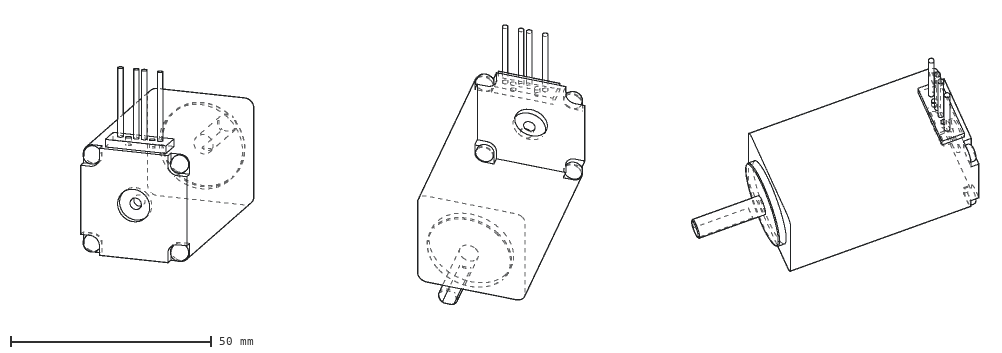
import cadquery as cq


body_side = 28.0
body_corner_radius = 2.5
total_length = 70.6
front_length = 20.05
body_length = total_length - front_length

pilot_diameter = 22.0
pilot_height = 2.05
pilot_edge_axial = 0.3
pilot_edge_radial = 0.2
shaft_diameter = 5.0
shaft_edge = 0.3
flat_length = 15.0
flat_depth = 0.5

recess_diameter = 8.5
recess_depth = 1.5
centre_hole_diameter = 3.0
centre_hole_depth = 2.8
centre_cone_depth = 0.85

screw_pitch = 23.0
screw_radius = 2.25
screw_pocket_radius = 2.5
screw_pocket_depth = 2.1
screw_head_height = 1.8
screw_dome_radius = 1.0

connector_width = 16.0
connector_depth = 6.0
connector_rear_gap = 1.5
connector_height = 2.0
lead_diameter = 1.4
lead_row_span = 10.45
lead_row_y = 5.0
lead_length = 18.0
position_count = 6
lead_pitch = lead_row_span / (position_count - 1)
empty_positions = (1, 4)

body_half = body_side / 2
body_top = body_half
screw_offset = screw_pitch / 2


def cylinder_y(diameter, y_start, y_end, x=0, z=0):
    """Cylinder parallel to Y between two Y positions."""
    start = cq.Vector(x, y_start, z)
    solid = cq.Solid.makeCylinder(diameter / 2, y_end - y_start, start, cq.Vector(0, 1, 0))
    return cq.Workplane(obj=solid)


def make_body():
    block = cq.Workplane("XY").box(body_side, body_length, body_side, centered=(True, False, True))
    return block.edges("|Y").fillet(body_corner_radius)


def make_pilot():
    pilot = cylinder_y(pilot_diameter, body_length, body_length + pilot_height)
    return pilot.faces(">Y").chamfer(pilot_edge_axial, pilot_edge_radial)


def make_shaft():
    shaft = cylinder_y(shaft_diameter, body_length, total_length).faces(">Y").chamfer(shaft_edge)
    flat_centre_y = total_length - flat_length / 2
    flat_z = flat_depth - shaft_diameter / 2
    cutter = (
        cq.Workplane("XY")
        .box(shaft_diameter, flat_length, shaft_diameter)
        .translate((0, flat_centre_y, flat_z - shaft_diameter / 2))
    )
    return shaft.cut(cutter)


def make_rear_recess():
    """Round recess with a drilled, cone-bottomed centre hole in its floor."""
    hole_radius = centre_hole_diameter / 2
    hole_bottom = recess_depth + centre_hole_depth
    return (
        cq.Workplane("XY")
        .lineTo(recess_diameter / 2, 0)
        .lineTo(recess_diameter / 2, recess_depth)
        .lineTo(hole_radius, recess_depth)
        .lineTo(hole_radius, hole_bottom)
        .lineTo(0, hole_bottom + centre_cone_depth)
        .close()
        .revolve(360, (0, 0, 0), (0, 1, 0))
    )


def make_screw_pocket(x_side, z_side):
    """Square corner pocket whose inner corner is rounded around the screw."""
    reach = body_half - screw_offset + screw_pocket_radius
    centre = body_half - reach / 2
    block = (
        cq.Workplane("XY")
        .box(reach, screw_pocket_depth, reach, centered=(True, False, True))
        .translate((x_side * centre, 0, z_side * centre))
    )
    inner_x = "<X" if x_side > 0 else ">X"
    inner_z = "<Z" if z_side > 0 else ">Z"
    return block.faces(inner_x).edges(inner_z).fillet(screw_pocket_radius)


def make_screw(x_side, z_side):
    rear_y = screw_pocket_depth - screw_head_height
    head = cylinder_y(
        2 * screw_radius, rear_y, screw_pocket_depth, x_side * screw_offset, z_side * screw_offset
    )
    return head.faces("<Y").edges().fillet(screw_dome_radius)


def make_connector():
    block = cq.Workplane("XY").box(
        connector_width, connector_depth, connector_height, centered=(True, False, False)
    )
    return block.translate((0, connector_rear_gap, body_top))


def lead_cylinder(position, z_start, height):
    """Upright cylinder at one of the connector's lead positions."""
    x = (position - (position_count - 1) / 2) * lead_pitch
    start = cq.Vector(x, lead_row_y, z_start)
    return cq.Workplane(obj=cq.Solid.makeCylinder(lead_diameter / 2, height, start))


result = make_body().cut(make_rear_recess())
result = result.union(make_pilot()).union(make_shaft())

for x_side in (-1, 1):
    for z_side in (-1, 1):
        result = result.cut(make_screw_pocket(x_side, z_side))
        result = result.union(make_screw(x_side, z_side))

result = result.union(make_connector())
for position in range(position_count):
    if position in empty_positions:
        result = result.cut(lead_cylinder(position, body_top, connector_height))
    else:
        result = result.union(lead_cylinder(position, body_top, connector_height + lead_length))